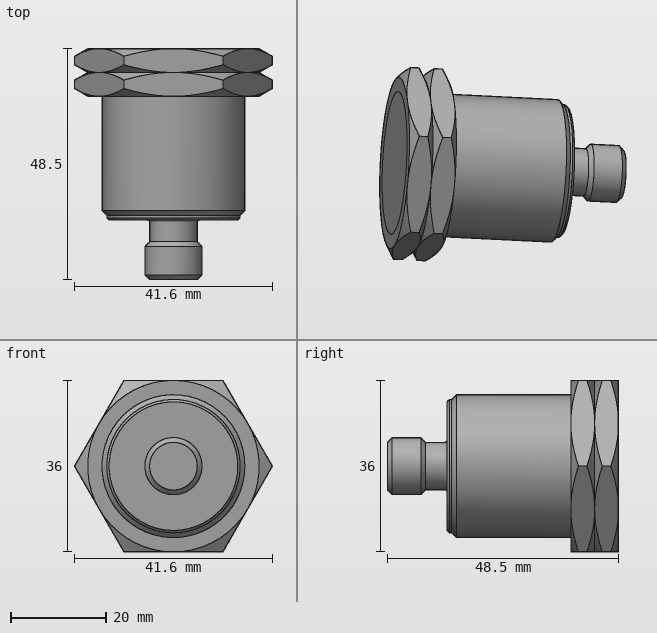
import cadquery as cq
import math


nut_count = 2
nut_sides = 6
nut_across_flats = 36.0
nut_thickness = 5.0
nut_bevel_angle = 30.0

barrel_radius = 15.0
barrel_length = 34.0
barrel_chamfer = 1.0

cap_radius = barrel_radius - barrel_chamfer
cap_front = 36.0
cap_chamfer = 0.5

neck_radius = 5.0
neck_end = 40.5
neck_fillet = 0.5
head_radius = 6.0
head_chamfer = head_radius - neck_radius
overall_length = 48.5


def revolve_about_y(profile):
    """Turn a profile drawn in the XY plane into a solid around the Y axis."""
    return profile.close().revolve(360, (0, 0, 0), (0, 1, 0))


def make_sensor():
    """Turned barrel, cap and plug as one solid; each point is (radius, Y)."""
    fillet_offset = neck_fillet * (1 - math.sqrt(0.5))
    profile = (
        cq.Workplane("XY")
        .moveTo(0, 0)
        .lineTo(barrel_radius, 0)
        .lineTo(barrel_radius, -barrel_length)
        .lineTo(cap_radius, -barrel_length - barrel_chamfer)
        .lineTo(cap_radius, -cap_front + cap_chamfer)
        .lineTo(cap_radius - cap_chamfer, -cap_front)
        .lineTo(neck_radius + neck_fillet, -cap_front)
        .threePointArc(
            (neck_radius + fillet_offset, -cap_front - fillet_offset),
            (neck_radius, -cap_front - neck_fillet),
        )
        .lineTo(neck_radius, -neck_end)
        .lineTo(head_radius, -neck_end - head_chamfer)
        .lineTo(head_radius, -overall_length + head_chamfer)
        .lineTo(head_radius - head_chamfer, -overall_length)
        .lineTo(0, -overall_length)
    )
    return revolve_about_y(profile)


def make_nut(rear_y):
    """Hexagon nut with corners on the X axis, bevelled on both faces and bored for the barrel."""
    corner_radius = nut_across_flats / 2 / math.cos(math.pi / nut_sides)
    face_radius = nut_across_flats / 2
    bevel_depth = (corner_radius - face_radius) * math.tan(math.radians(nut_bevel_angle))
    front_y = rear_y - nut_thickness

    hexagon = (
        cq.Workplane("XZ", origin=(0, rear_y, 0))
        .polygon(nut_sides, 2 * corner_radius)
        .circle(barrel_radius)
        .extrude(nut_thickness)
    )
    bevel_envelope = revolve_about_y(
        cq.Workplane("XY")
        .moveTo(0, rear_y)
        .lineTo(face_radius, rear_y)
        .lineTo(corner_radius, rear_y - bevel_depth)
        .lineTo(corner_radius, front_y + bevel_depth)
        .lineTo(face_radius, front_y)
        .lineTo(0, front_y)
    )
    return hexagon.intersect(bevel_envelope).solids()


sensor = make_sensor()
nuts = [make_nut(-index * nut_thickness) for index in range(nut_count)]

result = cq.Compound.makeCompound([sensor.val(), *[nut.val() for nut in nuts]])